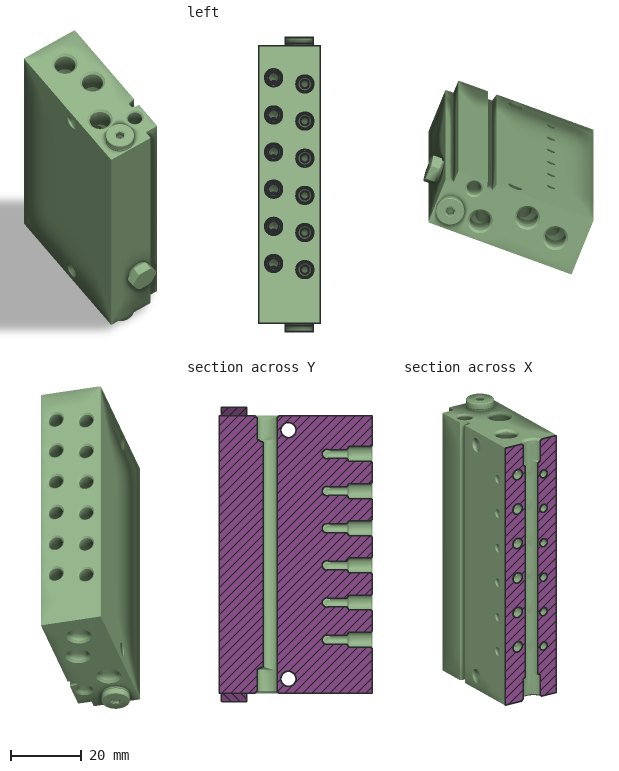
import cadquery as cq
import math

block_width = 43.5
block_thickness = 17.5
block_length = 78.65
overall_length = 83.5
edge_radius = 0.2

step_width = 2.4
step_depth = 3.9

groove_center_x = 30.8
groove_mouth_width = 2.7
groove_floor_width = 1.6
groove_depth = 2.2

port_diameter = 5.9
port_mouth_diameter = 7.2
port_depth = 6.7
gallery_diameter = 4.2
ports = [
    ((8.2, 8.5), (9.1, 8.5)),
    ((17.8, 11.35), (18.6, 10.85)),
    ((29.9, 5.6), (29.0, 5.35)),
]

outlet_diameter = 4.1
outlet_mouth_diameter = 5.0
pilot_center = (35.0, 14.0)

outlet_count = 6
outlet_pitch = 10.5
outlet_depth = 6.7
upper_row_y = 13.3
upper_row_top_z = block_length - 9.1
upper_drill_diameter = 3.0
upper_drill_depth = 11.7
lower_row_y = 4.4
lower_row_top_z = block_length - 10.85
lower_drill_diameter = 2.3
lower_drill_depth = 12.95
cross_drill_diameter = 2.5
cross_drill_floor_y = 3.4
drill_tip_angle = 118.0

mount_diameter = 4.2
mount_x = 23.8
mount_end_distance = 4.1

plug_center = (39.2, 6.0)
plug_diameter = 8.0
plug_height = (overall_length - block_length) / 2
plug_chamfer = 0.2
washer_height = 0.5
socket_mouth_diameter = 3.0
socket_across_corners = 2.7
socket_depth = 1.7

screw_y = 9.2
screw_z = 18.7
collar_diameter = 6.85
collar_length = 0.75
head_across_flats = 7.1
head_length = 2.75
head_chamfer = 0.25


def cylinder(base, direction, diameter, length):
    return cq.Solid.makeCylinder(diameter / 2, length, cq.Vector(*base), cq.Vector(*direction))


def pointed_hole(base, direction, diameter, depth):
    """Cylindrical hole of the given depth that ends in a drill point."""
    radius = diameter / 2
    tip_length = radius / math.tan(math.radians(drill_tip_angle / 2))
    tip_base = cq.Vector(*base) + cq.Vector(*direction) * depth
    tip = cq.Solid.makeCone(radius, 0, tip_length, tip_base, cq.Vector(*direction))
    return cylinder(base, direction, diameter, depth).fuse(tip)


def countersink(base, direction, mouth_diameter, bore_diameter):
    """45 degree cone that widens a bore at its mouth."""
    depth = (mouth_diameter - bore_diameter) / 2
    return cq.Solid.makeCone(
        mouth_diameter / 2, bore_diameter / 2, depth, cq.Vector(*base), cq.Vector(*direction)
    )


def block_blank():
    step_x = block_width - step_width
    step_y = block_thickness - step_depth
    groove_floor_y = block_thickness - groove_depth
    outline = [
        (0, 0),
        (block_width, 0),
        (block_width, step_y),
        (step_x, step_y),
        (step_x, block_thickness),
        (groove_center_x + groove_mouth_width / 2, block_thickness),
        (groove_center_x + groove_floor_width / 2, groove_floor_y),
        (groove_center_x - groove_floor_width / 2, groove_floor_y),
        (groove_center_x - groove_mouth_width / 2, block_thickness),
        (0, block_thickness),
    ]
    blank = cq.Workplane("XY").polyline(outline).close().extrude(block_length)
    rounded_corners = [(0, 0), (block_width, 0), (step_x, block_thickness), (0, block_thickness)]
    for x, y in rounded_corners:
        corner = cq.selectors.NearestToPointSelector((x, y, block_length / 2))
        blank = blank.edges(corner).fillet(edge_radius)
    return blank


def end_cuts():
    """Ports, galleries and pilot bore that run along Z, open at both ends."""
    cuts = []
    ends = [(0, (0, 0, 1)), (block_length, (0, 0, -1))]
    for port, gallery in ports:
        cuts.append(cylinder((*gallery, 0), (0, 0, 1), gallery_diameter, block_length))
        for z, inward in ends:
            cuts.append(pointed_hole((*port, z), inward, port_diameter, port_depth))
            cuts.append(countersink((*port, z), inward, port_mouth_diameter, port_diameter))
    cuts.append(cylinder((*pilot_center, 0), (0, 0, 1), outlet_diameter, block_length))
    for z, inward in ends:
        cuts.append(countersink((*pilot_center, z), inward, outlet_mouth_diameter, outlet_diameter))
    return cuts


def outlet_cuts(y, z, drill_diameter, drill_depth):
    """Outlet in the -X face, with a narrower drilling that continues it inward."""
    base = (0, y, z)
    inward = (1, 0, 0)
    return [
        pointed_hole(base, inward, outlet_diameter, outlet_depth),
        countersink(base, inward, outlet_mouth_diameter, outlet_diameter),
        pointed_hole(base, inward, drill_diameter, drill_depth),
    ]


def side_cuts():
    """Both rows of outlets, with a cross drilling from the +Y face to each lower drilling."""
    cuts = []
    cross_length = block_thickness - cross_drill_floor_y
    for i in range(outlet_count):
        upper_z = upper_row_top_z - i * outlet_pitch
        lower_z = lower_row_top_z - i * outlet_pitch
        cuts += outlet_cuts(upper_row_y, upper_z, upper_drill_diameter, upper_drill_depth)
        cuts += outlet_cuts(lower_row_y, lower_z, lower_drill_diameter, lower_drill_depth)
        cross_base = (lower_drill_depth, block_thickness, lower_z)
        cuts.append(cylinder(cross_base, (0, -1, 0), cross_drill_diameter, cross_length))
    return cuts


def mount_cuts():
    return [
        cylinder((mount_x, 0, z), (0, 1, 0), mount_diameter, block_thickness)
        for z in (mount_end_distance, block_length - mount_end_distance)
    ]


def make_block():
    cuts = end_cuts() + side_cuts() + mount_cuts()
    return block_blank().val().cut(*cuts)


def make_plug(z, outward):
    """Round plug on a washer face, with a countersunk hexagonal socket, flat on one end of the block."""
    plane = cq.Plane(origin=(*plug_center, z), xDir=(0, 1, 0), normal=(0, 0, outward))
    washer = cq.Workplane(plane).circle(plug_diameter / 2).extrude(washer_height)
    head = (
        cq.Workplane(plane)
        .workplane(offset=washer_height)
        .circle(plug_diameter / 2)
        .extrude(plug_height - washer_height)
        .edges()
        .chamfer(plug_chamfer)
    )
    socket = (
        cq.Workplane(plane)
        .workplane(offset=plug_height - socket_depth)
        .polygon(6, socket_across_corners)
        .extrude(socket_depth)
    )
    mouth_center = (*plug_center, z + outward * plug_height)
    mouth = countersink(mouth_center, (0, 0, -outward), socket_mouth_diameter, socket_across_corners)
    return washer.union(head).cut(socket).cut(cq.Workplane(mouth)).val()


def make_screw():
    """Hexagonal head on a round collar, lying flat on the +X face."""
    plane = cq.Plane(origin=(block_width, screw_y, screw_z), xDir=(0, 1, 0), normal=(1, 0, 0))
    across_corners = head_across_flats / math.cos(math.pi / 6)
    collar = cq.Workplane(plane).circle(collar_diameter / 2).extrude(collar_length)
    head = (
        cq.Workplane(plane)
        .workplane(offset=collar_length)
        .polygon(6, across_corners)
        .extrude(head_length)
    )
    corner_trim = (
        cq.Workplane(plane)
        .workplane(offset=collar_length)
        .circle(across_corners / 2)
        .extrude(head_length)
        .edges()
        .chamfer(head_chamfer)
    )
    return collar.union(head.intersect(corner_trim)).val()


block = make_block()
plugs = [make_plug(z, outward) for z, outward in ((0, -1), (block_length, 1))]
screw = make_screw()

result = cq.Compound.makeCompound([block, *plugs, screw])